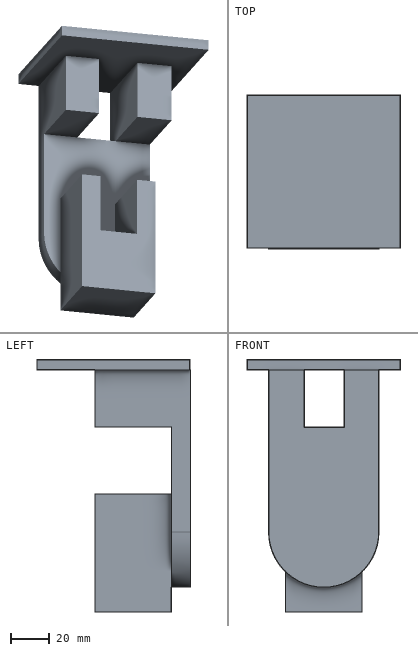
import cadquery as cq

total_height = 132.1

plate_side = 80.0
plate_thickness = 5.3
plate_bottom = total_height - plate_thickness

bracket_width = 57.7
bracket_depth = 50.0
web_thickness = 10.0
arm_height = 30.0
slot_width = 20.9
slot_offset = 0.3
front_overhang = 0.3
end_radius = bracket_width / 2
web_bottom = 13.1
end_centre = web_bottom + end_radius
arm_bottom = plate_bottom - arm_height
bracket_front = -plate_side / 2 - front_overhang

block_width = 40.0
block_height = 62.0
block_depth = bracket_depth - web_thickness
block_front = bracket_front + web_thickness
block_wall = 10.0
block_slot_width = block_width - 2 * block_wall
block_slot_depth = arm_height


def box_from_front(width, depth, height, front, bottom):
    """Box centred on X, starting at the given front face and underside."""
    return (
        cq.Workplane("XY", origin=(0, front, bottom))
        .box(width, depth, height, centered=(True, False, False))
    )


def make_plate():
    """Square plate, centred on the Z axis."""
    return box_from_front(plate_side, plate_side, plate_thickness, -plate_side / 2, plate_bottom)


def make_bracket():
    """Web with a semicircular lower end, and a slotted top that forms two arms."""
    web = (
        cq.Workplane("XZ", origin=(0, bracket_front, 0))
        .moveTo(-end_radius, plate_bottom)
        .lineTo(-end_radius, end_centre)
        .threePointArc((0, web_bottom), (end_radius, end_centre))
        .lineTo(end_radius, plate_bottom)
        .close()
        .extrude(-web_thickness)
    )
    arms = box_from_front(bracket_width, bracket_depth, arm_height, bracket_front, arm_bottom)
    slot = box_from_front(slot_width, bracket_depth, arm_height, bracket_front, arm_bottom)
    return web.union(arms).cut(slot.translate((slot_offset, 0, 0)))


def make_block():
    """Block behind the lower part of the web, with a slot open at its top and rear."""
    block = box_from_front(block_width, block_depth, block_height, block_front, 0)
    slot_bottom = block_height - block_slot_depth
    slot = box_from_front(block_slot_width, block_depth, block_slot_depth, block_front, slot_bottom)
    return block.cut(slot)


plate = make_plate()
bracket = make_bracket()
block = make_block()

result = cq.Compound.makeCompound([plate.val(), bracket.val(), block.val()])